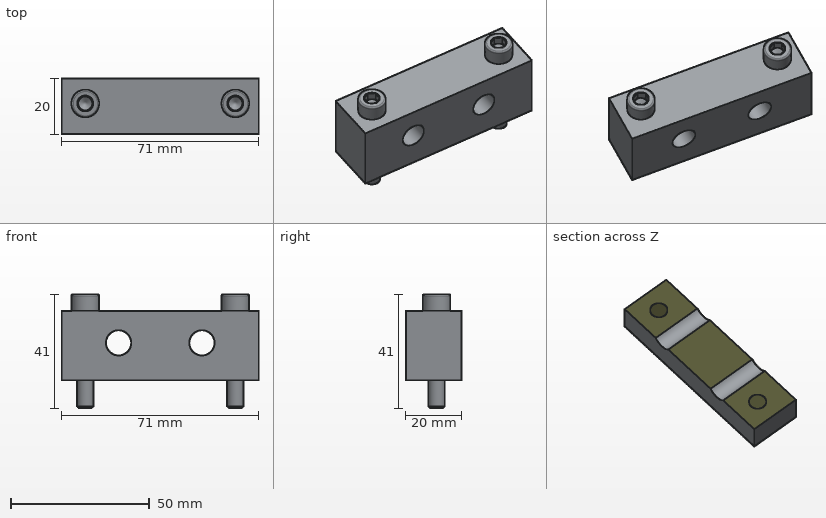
import cadquery as cq
import math

block_length = 71.0
block_width = 20.0
block_height = 25.0

cross_hole_diameter = 9.0
cross_hole_spacing = 30.0
cross_hole_height = 13.5

screw_spacing = 54.0
screw_y = 11.0
shank_diameter = 6.0
shank_length = 35.0
tip_chamfer = 0.75
head_diameter = 10.0
head_height = 6.0
head_fillet = 0.6

hex_across_flats = 5.0
hex_across_corners = hex_across_flats / math.cos(math.pi / 6)
hex_turn = 30.0
socket_depth = 3.0
cone_slope = math.tan(math.pi / 6)

block_middle_x = block_length / 2
cross_hole_xs = [block_middle_x + side * cross_hole_spacing / 2 for side in (-1, 1)]
screw_xs = [block_middle_x + side * screw_spacing / 2 for side in (-1, 1)]


def make_block():
    """Rectangular block with two cross holes and two screw holes."""
    block = cq.Workplane("XY").box(block_length, block_width, block_height, centered=False)
    cross_holes = (
        cq.Workplane("XZ")
        .pushPoints([(x, cross_hole_height) for x in cross_hole_xs])
        .circle(cross_hole_diameter / 2)
        .extrude(-block_width)
    )
    screw_holes = (
        cq.Workplane("XY")
        .pushPoints([(x, screw_y) for x in screw_xs])
        .circle(shank_diameter / 2)
        .extrude(block_height)
    )
    return block.cut(cross_holes).cut(screw_holes)


def make_cone(base_diameter, base_z):
    """Cone pointing down from a circle at base_z."""
    base_radius = base_diameter / 2
    depth = base_radius * cone_slope
    return (
        cq.Workplane("XZ", origin=(0, 0, base_z))
        .polyline([(0, 0), (base_radius, 0), (0, -depth)])
        .close()
        .revolve(360, (0, 0), (0, 1))
    )


def make_socket():
    """Hexagon socket with two flats facing along X, open at the top of the head."""
    socket_floor_z = head_height - socket_depth
    hexagon = (
        cq.Workplane("XY", origin=(0, 0, socket_floor_z))
        .transformed(rotate=(0, 0, hex_turn))
        .polygon(6, hex_across_corners)
        .extrude(socket_depth)
    )
    floor_cone = make_cone(hex_across_flats, socket_floor_z)
    mouth_cone = make_cone(hex_across_corners, head_height)
    return hexagon.union(floor_cone).union(mouth_cone)


def make_screw(x):
    """Cap screw at the given X, its head seated on top of the block."""
    head = (
        cq.Workplane("XY")
        .circle(head_diameter / 2)
        .extrude(head_height)
        .faces(">Z")
        .edges()
        .fillet(head_fillet)
    )
    shank = (
        cq.Workplane("XY")
        .circle(shank_diameter / 2)
        .extrude(-shank_length)
        .faces("<Z")
        .edges()
        .chamfer(tip_chamfer)
    )
    screw = head.union(shank).cut(make_socket())
    return screw.translate((x, screw_y, block_height))


block = make_block()
screws = [make_screw(x) for x in screw_xs]

result = cq.Compound.makeCompound([block.val(), *[screw.val() for screw in screws]])